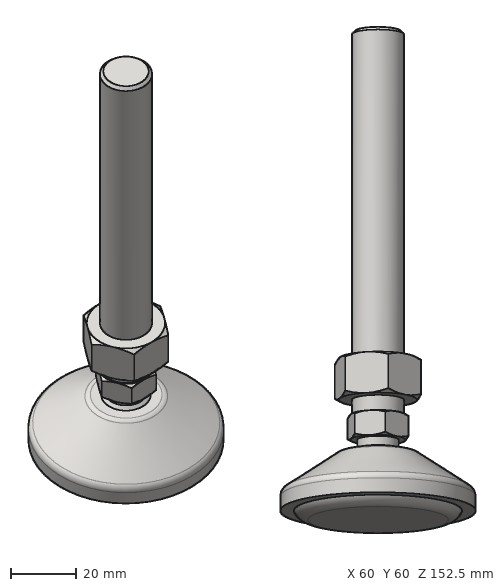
import cadquery as cq
import math

TOTAL_HEIGHT = 152.5
RIM_BOTTOM = 2.7
RIM_TOP = 7.3
FOOT_TOP = 21.0
NECK_BOTTOM = 22.1
HEX_COLLAR_BOTTOM = 24.9
LOCK_NUT_BOTTOM = 37.4

FOOT_RADIUS = 60.0 / 2
CONE_OUTER_RADIUS = 28.7
CONE_OUTER_LEVEL = 9.6
FOOT_TOP_RADIUS = 11.0
CONE_INNER_RADIUS = 12.7
CONE_INNER_LEVEL = 20.5
PAD_FLAT_RADIUS = 21.5
PAD_CORNER_RADIUS = 4.7

STUD_RADIUS = 16.0 / 2
STUD_CHAMFER = 1.0
NECK_RADIUS = 6.4
NECK_FLARE_RADIUS = 7.6

LOCK_NUT_WIDTH = 24.0
LOCK_NUT_HEIGHT = 12.8
HEX_COLLAR_WIDTH = 17.0
HEX_COLLAR_HEIGHT = 7.8
HEX_CHAMFER_ANGLE = math.radians(30)


def make_foot():
    """Revolved conical foot with a rounded shoulder and a protruding pad."""
    corner_end_angle = math.asin((RIM_BOTTOM - PAD_CORNER_RADIUS) / PAD_CORNER_RADIUS)
    corner_mid_angle = (corner_end_angle - math.pi / 2) / 2

    def corner_point(angle):
        return (
            PAD_FLAT_RADIUS + PAD_CORNER_RADIUS * math.cos(angle),
            PAD_CORNER_RADIUS + PAD_CORNER_RADIUS * math.sin(angle),
        )

    profile = (
        cq.Workplane("XZ")
        .lineTo(PAD_FLAT_RADIUS, 0)
        .threePointArc(corner_point(corner_mid_angle), corner_point(corner_end_angle))
        .lineTo(FOOT_RADIUS, RIM_BOTTOM)
        .lineTo(FOOT_RADIUS, RIM_TOP)
        .tangentArcPoint((CONE_OUTER_RADIUS, CONE_OUTER_LEVEL), relative=False)
        .lineTo(CONE_INNER_RADIUS, CONE_INNER_LEVEL)
        .tangentArcPoint((FOOT_TOP_RADIUS, FOOT_TOP), relative=False)
        .lineTo(0, FOOT_TOP)
        .close()
    )
    return profile.revolve(360, (0, 0, 0), (0, 1, 0))


def make_stud():
    """Plain stud above the collar, with a thinner neck flaring into the foot."""
    profile = (
        cq.Workplane("XZ")
        .moveTo(0, FOOT_TOP)
        .lineTo(NECK_FLARE_RADIUS, FOOT_TOP)
        .lineTo(NECK_RADIUS, NECK_BOTTOM)
        .lineTo(NECK_RADIUS, HEX_COLLAR_BOTTOM)
        .lineTo(STUD_RADIUS, HEX_COLLAR_BOTTOM)
        .lineTo(STUD_RADIUS, TOTAL_HEIGHT - STUD_CHAMFER)
        .lineTo(STUD_RADIUS - STUD_CHAMFER, TOTAL_HEIGHT)
        .lineTo(0, TOTAL_HEIGHT)
        .close()
    )
    return profile.revolve(360, (0, 0, 0), (0, 1, 0))


def make_hex(width, height, bottom):
    """Hexagonal prism whose corners are coned off at both ends."""
    flat_radius = width / 2
    corner_radius = flat_radius / math.cos(math.pi / 6)
    chamfer_height = (corner_radius - flat_radius) * math.tan(HEX_CHAMFER_ANGLE)

    prism = cq.Workplane("XY").workplane(offset=bottom).polygon(6, 2 * corner_radius).extrude(height)
    envelope = (
        cq.Workplane("XZ")
        .moveTo(0, bottom)
        .lineTo(flat_radius, bottom)
        .lineTo(corner_radius, bottom + chamfer_height)
        .lineTo(corner_radius, bottom + height - chamfer_height)
        .lineTo(flat_radius, bottom + height)
        .lineTo(0, bottom + height)
        .close()
        .revolve(360, (0, 0, 0), (0, 1, 0))
    )
    return prism.intersect(envelope)


hex_collar = make_hex(HEX_COLLAR_WIDTH, HEX_COLLAR_HEIGHT, HEX_COLLAR_BOTTOM)
lock_nut = make_hex(LOCK_NUT_WIDTH, LOCK_NUT_HEIGHT, LOCK_NUT_BOTTOM)

result = make_foot().union(make_stud()).union(hex_collar).union(lock_nut)